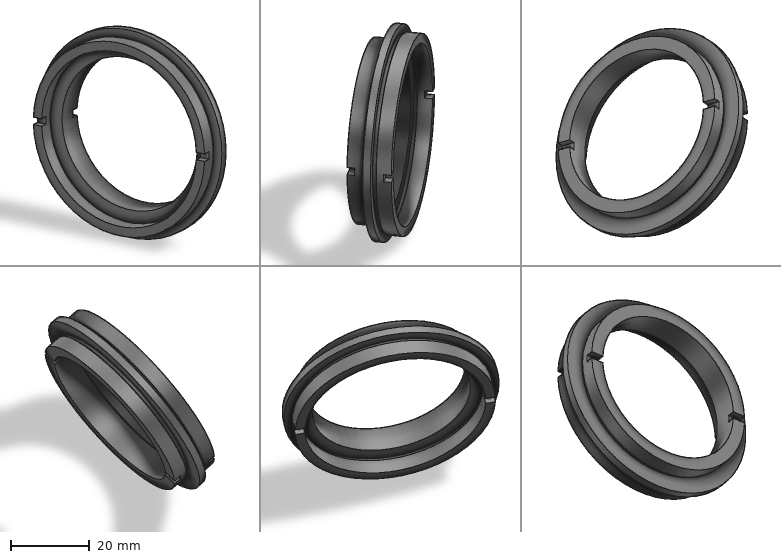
import cadquery as cq

flange_diameter = 56.0
front_ring_diameter = 52.0
back_ring_diameter = 48.0
groove_depth = 0.5

ring_length = 4.0
groove_length = 1.0
flange_length = 2.0
total_length = 2 * (ring_length + groove_length) + flange_length

bore_diameter = 41.0
counterbore_diameter = 47.0
counterbore_depth = ring_length + groove_length

slot_width = 2.0
slot_depth = 2.0


def cylinder(diameter, start, length):
    """Solid disc on the Y axis, running from start towards +Y."""
    plane = cq.Plane(origin=(0, start, 0), xDir=(1, 0, 0), normal=(0, 1, 0))
    return cq.Workplane(plane).circle(diameter / 2).extrude(length)


def ring_body():
    """Stack of coaxial discs from the front face to the back face."""
    sections = [
        (front_ring_diameter, ring_length),
        (front_ring_diameter - 2 * groove_depth, groove_length),
        (flange_diameter, flange_length),
        (back_ring_diameter - 2 * groove_depth, groove_length),
        (back_ring_diameter, ring_length),
    ]
    start = -total_length / 2
    body = cq.Workplane("XY")
    for diameter, length in sections:
        body = body.union(cylinder(diameter, start, length))
        start += length
    return body


def inner_relief():
    """Cutter for the relief groove at the inner end of the counterbore."""
    relief_start = -total_length / 2 + counterbore_depth - groove_length
    return cylinder(counterbore_diameter + 2 * groove_depth, relief_start, groove_length)


def end_slot(side):
    """Slot cutter along X at the front (side = -1) or back (side = 1) face."""
    center_y = side * (total_length - slot_depth) / 2
    return cq.Workplane("XY").box(flange_diameter, slot_depth, slot_width).translate((0, center_y, 0))


result = ring_body()
result = result.cut(cylinder(bore_diameter, -total_length / 2, total_length))
result = result.cut(cylinder(counterbore_diameter, -total_length / 2, counterbore_depth))
result = result.cut(inner_relief())
for side in (-1, 1):
    result = result.cut(end_slot(side))